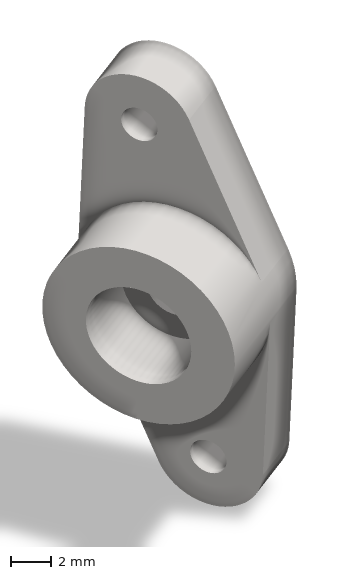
import cadquery as cq
import math

overall_height = 25.65
total_depth = 7.0
plate_thickness = 3.0
boss_diameter = 10.6
ear_radius = 3.0
ear_hole_diameter = 2.0
ear_offset_x = 1.9
bore_diameter = 3.0
counterbore_diameter = 5.8
counterbore_depth = total_depth - plate_thickness

boss_radius = boss_diameter / 2
ear_offset_z = overall_height / 2 - ear_radius
ear_centers = [(-ear_offset_x, ear_offset_z), (ear_offset_x, -ear_offset_z)]


def cylinder(center, diameter, length):
    """Cylinder from the back face (y = 0) toward -Y."""
    return cq.Workplane("XZ").center(*center).circle(diameter / 2).extrude(length)


def polar_point(center, radius, angle):
    return (center[0] + radius * math.cos(angle), center[1] + radius * math.sin(angle))


def tapered_ear(center):
    """Rounded ear whose straight sides are tangent to the ear tip and the boss."""
    distance = math.hypot(*center)
    direction = math.atan2(center[1], center[0])
    spread = math.acos((boss_radius - ear_radius) / distance)
    right, left = direction - spread, direction + spread
    return (
        cq.Workplane("XZ")
        .moveTo(0, 0)
        .lineTo(*polar_point((0, 0), boss_radius, right))
        .lineTo(*polar_point(center, ear_radius, right))
        .threePointArc(
            polar_point(center, ear_radius, direction),
            polar_point(center, ear_radius, left),
        )
        .lineTo(*polar_point((0, 0), boss_radius, left))
        .close()
        .extrude(plate_thickness)
    )


body = cylinder((0, 0), boss_diameter, total_depth)
for ear_center in ear_centers:
    body = body.union(tapered_ear(ear_center))

for ear_center in ear_centers:
    body = body.cut(cylinder(ear_center, ear_hole_diameter, plate_thickness))

body = body.cut(cylinder((0, 0), bore_diameter, total_depth))
counterbore = cylinder((0, 0), counterbore_diameter, counterbore_depth)
result = body.cut(counterbore.translate((0, counterbore_depth - total_depth, 0)))